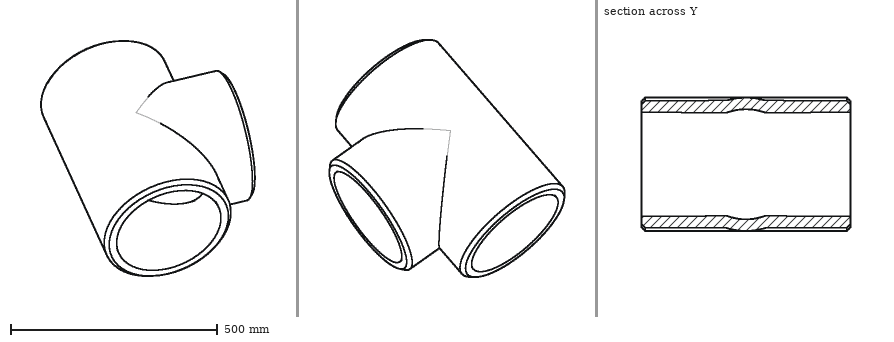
import cadquery as cq

run_length = 508.0
branch_reach = run_length / 2
outer_diameter = 324.0
bore_diameter = 266.5
bevel = 9.5


def outer_cylinder(plane, length):
    return cq.Workplane(plane).circle(outer_diameter / 2).extrude(length)


def bore_cylinder(plane, length):
    return cq.Workplane(plane).circle(bore_diameter / 2).extrude(length)


run_start = cq.Plane(origin=(-run_length / 2, 0, 0), xDir=(0, 1, 0), normal=(1, 0, 0))
branch_start = cq.Plane(origin=(0, 0, 0), xDir=(1, 0, 0), normal=(0, 1, 0))

run = outer_cylinder(run_start, run_length).faces("<X or >X").chamfer(bevel)
branch = outer_cylinder(branch_start, branch_reach).faces(">Y").chamfer(bevel)

run_bore = bore_cylinder(run_start, run_length)
branch_bore = bore_cylinder(branch_start, branch_reach)

result = run.union(branch).cut(run_bore).cut(branch_bore)